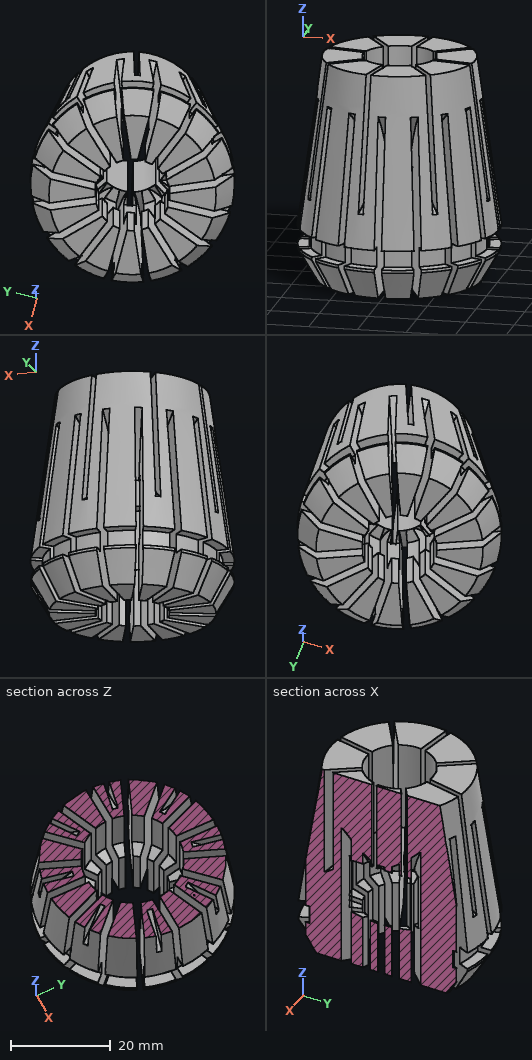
import cadquery as cq
import math

total_height = 46.0
rim_bottom_z = 6.4
rim_top_z = 7.0
taper_bottom_z = 11.0

taper_angle = 8.0
nose_angle = 30.0
taper_bottom_radius = 20.5
taper_top_radius = taper_bottom_radius - (total_height - taper_bottom_z) * math.tan(math.radians(taper_angle))
groove_radius = 18.1
rim_radius = 20.45
nose_radius = rim_radius - rim_bottom_z * math.tan(math.radians(nose_angle))

bore_radius = 7.5
relief_radius = 10.28
relief_cone_top_z = 13.0
relief_top_z = 25.6
relief_cone_slope = 20.0
relief_cone_height = (relief_radius - bore_radius) * math.tan(math.radians(relief_cone_slope))

nose_slot_count = 16
nose_slot_width = 1.5
nose_slot_inner_z = relief_top_z
nose_slot_outer_z = 37.8
nose_saw_radius = 34.0

back_slot_count = 8
back_slot_width = 1.05
back_slot_inner_z = 25.4
back_slot_outer_z = 18.0
back_saw_radius = 27.0
back_slot_start_angle = -180.0 / nose_slot_count

slot_overrun = 1.0
slot_outer_radius = taper_bottom_radius + slot_overrun


def taper_radius_at(z):
    """Radius of the long outer taper at height z."""
    return taper_bottom_radius - (z - taper_bottom_z) * math.tan(math.radians(taper_angle))


def make_body():
    """Turned collet blank: nose cone, rim, groove, long taper, relieved bore."""
    section = (
        cq.Workplane("XZ")
        .moveTo(bore_radius, 0)
        .lineTo(nose_radius, 0)
        .lineTo(rim_radius, rim_bottom_z)
        .lineTo(rim_radius, rim_top_z)
        .lineTo(groove_radius, rim_top_z)
        .lineTo(groove_radius, taper_bottom_z)
        .lineTo(taper_bottom_radius, taper_bottom_z)
        .lineTo(taper_top_radius, total_height)
        .lineTo(bore_radius, total_height)
        .lineTo(bore_radius, relief_top_z)
        .lineTo(relief_radius, relief_top_z)
        .lineTo(relief_radius, relief_cone_top_z)
        .lineTo(bore_radius, relief_cone_top_z - relief_cone_height)
        .close()
    )
    return section.revolve(360, (0, 0, 0), (0, 1, 0))


def make_slot(open_z, inner_radius, inner_z, outer_z, arc_radius, width):
    """Radial slot along +X, open at open_z and ending on an arc that bulges into the wall."""
    runout_radius = taper_radius_at(outer_z)
    profile = (
        cq.Workplane("XZ")
        .moveTo(0, open_z)
        .lineTo(0, inner_z)
        .lineTo(inner_radius, inner_z)
        .radiusArc((runout_radius, outer_z), arc_radius)
        .lineTo(slot_outer_radius, outer_z)
        .lineTo(slot_outer_radius, open_z)
        .close()
    )
    return profile.extrude(width / 2, both=True)


def cut_slots(body, slot, count, start_angle):
    """Cut equally spaced copies of a slot around the Z axis."""
    for index in range(count):
        angle = start_angle + index * 360.0 / count
        body = body.cut(slot.rotate((0, 0, 0), (0, 0, 1), angle))
    return body


nose_slot = make_slot(
    open_z=-slot_overrun,
    inner_radius=bore_radius,
    inner_z=nose_slot_inner_z,
    outer_z=nose_slot_outer_z,
    arc_radius=nose_saw_radius,
    width=nose_slot_width,
)
back_slot = make_slot(
    open_z=total_height + slot_overrun,
    inner_radius=relief_radius,
    inner_z=back_slot_inner_z,
    outer_z=back_slot_outer_z,
    arc_radius=-back_saw_radius,
    width=back_slot_width,
)

collet = make_body()
collet = cut_slots(collet, nose_slot, nose_slot_count, 0.0)
result = cut_slots(collet, back_slot, back_slot_count, back_slot_start_angle)